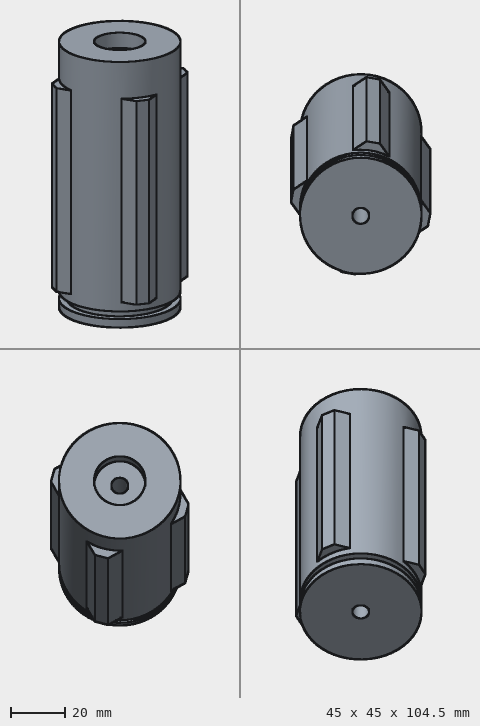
import cadquery as cq

body_diameter = 45.0
body_height = 104.46

flange_height = 3.4
groove_width = 3.0
groove_diameter = 39.0

rib_square_width = 40.0
rib_corner_chamfer = 3.6
rib_bottom_z = 10.0
rib_length = 80.0

bore_diameter = 6.2
counterbore_diameter = 19.0
counterbore_depth = 6.0


def make_body():
    return cq.Workplane("XY").circle(body_diameter / 2).extrude(body_height)


def make_corner_ribs():
    return (
        cq.Workplane("XY")
        .workplane(offset=rib_bottom_z)
        .rect(rib_square_width, rib_square_width)
        .extrude(rib_length)
        .edges("|Z")
        .chamfer(rib_corner_chamfer)
    )


def make_groove_cutter():
    return (
        cq.Workplane("XY")
        .workplane(offset=flange_height)
        .circle(body_diameter / 2)
        .circle(groove_diameter / 2)
        .extrude(groove_width)
    )


def cut_stepped_hole(part):
    return (
        part.faces(">Z")
        .workplane(origin=(0, 0, body_height))
        .cboreHole(bore_diameter, counterbore_diameter, counterbore_depth)
    )


solid_part = make_body().union(make_corner_ribs()).cut(make_groove_cutter())
result = cut_stepped_hole(solid_part)